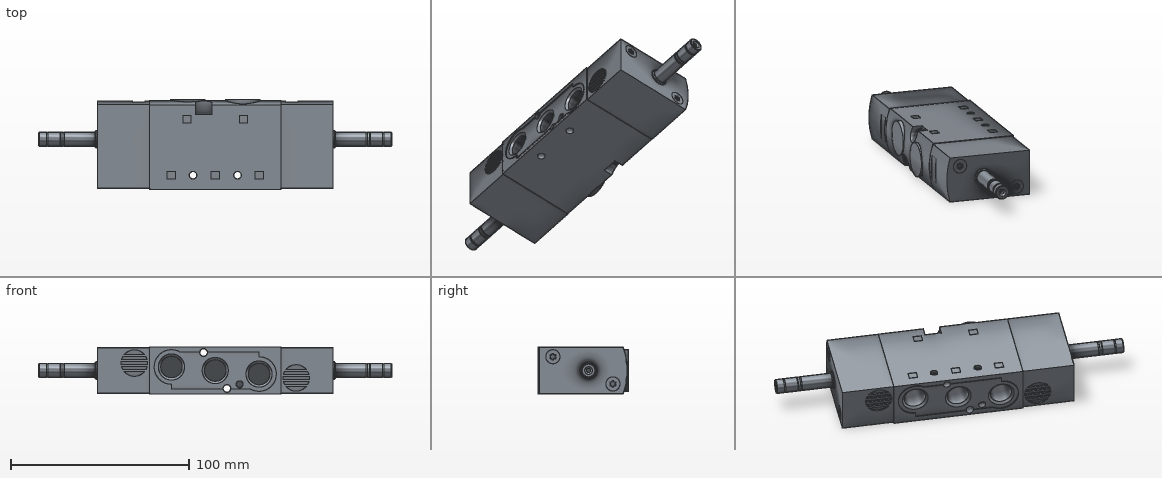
import cadquery as cq
import math

overall_length = 198.2
overall_depth = 50.5
body_length = 73.7
body_height = 26.5
cap_length = 29.3
cap_height = 25.8
cap_front_setback = 0.5

front_y = -overall_depth / 2
body_crown_y = 24.8
cap_crown_y = 24.5
body_arch_edge_y = 22.2
cap_arch_edge_y = 22.5
body_end_x = body_length / 2
cap_end_x = body_end_x + cap_length

port_pitch = 24.5
port_z_step = 2.0
port_diameter = 12.0
port_mouth_diameter = 14.7
port_depth = 15.9
gasket_diameter = 19.5
gasket_edge_z = 10.3
gasket_depth = 0.5
pin_hole_diameter = 4.0
pin_hole_depth = 4.0
pin_hole_x = 13.7
pin_hole_z = -7.7

boss_x = 15.5
boss_z = 2.0
boss_diameter = 19.5
boss_length = 6.0

cross_hole_diameter = 4.2
cross_hole_x = 6.5
cross_hole_z = 10.1
head_slot_width = 9.3
head_slot_floor_y = 16.8
vertical_hole_diameter = 4.2
vertical_hole_x = 12.5
vertical_hole_y = -17.2

label_width = 4.8
label_height = 4.2
label_depth = 0.2
front_label_y = -17.2
rear_label_x = 15.9
rear_label_y = 14.3

grille_x = 45.4
grille_z = 4.2
grille_diameter = 14.9
grille_pitch = 2.8
grille_slot_height = 1.5
grille_depth = 1.0
rear_slot_x = 43.0
rear_slot_width = 7.1
rear_slot_floor_y = 24.0

stem_y = 3.0
stem_diameter = 8.0
stem_tip_chamfer = 0.4
stem_bore_diameter = 2.4
stem_bore_mouth_diameter = 4.4
stem_bore_depth = 4.0
groove_depth = 0.2
groove_positions = ((4.4, 0.8), (12.0, 0.4), (13.7, 0.8))
collar_diameter = 10.0
collar_length = 1.2
collar_chamfer = 0.5

screw_centers = ((16.6, 7.5), (-17.0, -7.7))
screw_head_diameter = 8.0
screw_head_length = 4.0
socket_core_diameter = 2.5
socket_tip_diameter = 3.8
socket_lobe_diameter = 0.9
socket_lobes = 6
socket_depth = 1.5


along_x = cq.Vector(1, 0, 0)
along_y = cq.Vector(0, 1, 0)


def half_turn(shape):
    """Turn a shape half a revolution about the Y axis."""
    return shape.rotate((0, 0, 0), (0, 1, 0), 180)


def arched_block(start_x, length, height, front, arch_edge, crown):
    """Block along X with a gently arched rear (+Y) face."""
    half = height / 2
    return (
        cq.Workplane("YZ", origin=(start_x, 0, 0))
        .moveTo(arch_edge, -half)
        .threePointArc((crown, 0), (arch_edge, half))
        .lineTo(front, half)
        .lineTo(front, -half)
        .close()
        .extrude(length)
    )


def cylinder_y(x, z, diameter, start_y, length):
    """Cylinder along +Y."""
    start = cq.Vector(x, start_y, z)
    return cq.Workplane(cq.Solid.makeCylinder(diameter / 2, length, start, along_y))


def cylinder_x(y, z, diameter, start_x, length):
    """Cylinder along +X."""
    start = cq.Vector(start_x, y, z)
    return cq.Workplane(cq.Solid.makeCylinder(diameter / 2, length, start, along_x))


def tapered_mouth(start, direction, mouth_diameter, bore_diameter):
    """45 degree countersink that narrows from the mouth to the bore."""
    depth = (mouth_diameter - bore_diameter) / 2
    return cq.Workplane(cq.Solid.makeCone(mouth_diameter / 2, bore_diameter / 2, depth, start, direction))


def gasket_recess():
    """Shallow recess bounded by an arc around each outer port."""
    radius = gasket_diameter / 2
    run = math.sqrt(radius**2 - (gasket_edge_z - port_z_step) ** 2)
    arc_start_x = -port_pitch + run
    return (
        cq.Workplane("XZ", origin=(0, front_y, 0))
        .moveTo(arc_start_x, gasket_edge_z)
        .threePointArc((-port_pitch - radius, port_z_step), (-port_pitch, port_z_step - radius))
        .lineTo(-port_pitch, -gasket_edge_z)
        .lineTo(-arc_start_x, -gasket_edge_z)
        .threePointArc((port_pitch + radius, -port_z_step), (port_pitch, radius - port_z_step))
        .lineTo(port_pitch, gasket_edge_z)
        .close()
        .extrude(-gasket_depth)
    )


def front_port(x, z):
    """Blind port with a chamfered mouth, opening at the recess floor."""
    mouth_y = front_y + gasket_depth
    bore = cylinder_y(x, z, port_diameter, mouth_y, port_depth)
    mouth = tapered_mouth(cq.Vector(x, mouth_y, z), along_y, port_mouth_diameter, port_diameter)
    return bore.union(mouth)


def cross_hole():
    """Front-to-rear hole with a head seat that opens at the top and the rear."""
    seat_length = overall_depth / 2 - head_slot_floor_y
    seat_y = head_slot_floor_y + seat_length / 2
    hole = cylinder_y(-cross_hole_x, cross_hole_z, cross_hole_diameter, front_y, overall_depth)
    seat = cylinder_y(-cross_hole_x, cross_hole_z, head_slot_width, head_slot_floor_y, seat_length)
    opening = (
        cq.Workplane()
        .box(head_slot_width, seat_length, body_height / 2, centered=(True, True, False))
        .translate((-cross_hole_x, seat_y, cross_hole_z))
    )
    return hole.union(seat).union(opening)


def label_pocket(x, y):
    """Shallow rectangular pocket in the top face."""
    return (
        cq.Workplane()
        .box(label_width, label_height, 2 * label_depth)
        .translate((x, y, body_height / 2))
    )


def make_body():
    """Valve body with ports, mounting holes and label pockets."""
    body = arched_block(-body_end_x, body_length, body_height, front_y, body_arch_edge_y, body_crown_y)
    boss = cylinder_y(boss_x, boss_z, boss_diameter, overall_depth / 2 - boss_length, boss_length)
    body = body.union(boss).union(half_turn(boss))

    body = body.cut(gasket_recess())
    for step in (-1, 0, 1):
        body = body.cut(front_port(step * port_pitch, -step * port_z_step))
    pin_hole_length = gasket_depth + pin_hole_depth
    body = body.cut(cylinder_y(pin_hole_x, pin_hole_z, pin_hole_diameter, front_y, pin_hole_length))

    body = body.cut(cross_hole()).cut(half_turn(cross_hole()))
    for x in (-vertical_hole_x, vertical_hole_x):
        hole = cq.Workplane().circle(vertical_hole_diameter / 2).extrude(body_height)
        body = body.cut(hole.translate((x, vertical_hole_y, -body_height / 2)))

    for x in (-port_pitch, 0, port_pitch):
        body = body.cut(label_pocket(x, front_label_y))
    for x in (-rear_label_x, rear_label_x):
        body = body.cut(label_pocket(x, rear_label_y))
    return body


def grille(cap_front):
    """Horizontal slots trimmed by a circle; the outer two fill the rest of it."""
    radius = grille_diameter / 2
    outer_start = 2 * grille_pitch - grille_slot_height / 2
    bars = cq.Workplane("XZ", origin=(0, cap_front, 0))
    bars = bars.pushPoints([(0, row * grille_pitch) for row in (-1, 0, 1)])
    bars = bars.rect(grille_diameter, grille_slot_height).extrude(-grille_depth)
    outer_height = radius - outer_start
    outer_center = outer_start + outer_height / 2
    outer = cq.Workplane("XZ", origin=(0, cap_front, 0))
    outer = outer.pushPoints([(0, -outer_center), (0, outer_center)])
    outer = outer.rect(grille_diameter, outer_height).extrude(-grille_depth)
    disc = cylinder_y(0, 0, grille_diameter, cap_front, grille_depth)
    return bars.union(outer).intersect(disc).translate((-grille_x, 0, grille_z))


def make_stem():
    """Grooved stem with a tapered collar where it leaves the -X cap."""
    tip_x = -overall_length / 2
    stem_length = overall_length / 2 - cap_end_x
    stem = cylinder_x(stem_y, 0, stem_diameter, tip_x, stem_length)
    stem = stem.faces("<X").chamfer(stem_tip_chamfer)
    collar = cylinder_x(stem_y, 0, collar_diameter, -cap_end_x - collar_length, collar_length)
    stem = stem.union(collar.faces("<X").chamfer(collar_chamfer))
    for distance, width in groove_positions:
        ring = cylinder_x(stem_y, 0, stem_diameter, tip_x + distance, width)
        core = cylinder_x(stem_y, 0, stem_diameter - 2 * groove_depth, tip_x + distance, width)
        stem = stem.cut(ring.cut(core))
    bore = cylinder_x(stem_y, 0, stem_bore_diameter, tip_x, stem_bore_depth)
    mouth = tapered_mouth(
        cq.Vector(tip_x, stem_y, 0), along_x, stem_bore_mouth_diameter, stem_bore_diameter
    )
    return stem.cut(bore).cut(mouth)


def make_cap():
    """Cap and stem at the -X end."""
    cap_front = front_y + cap_front_setback
    cap = arched_block(-cap_end_x, cap_length, cap_height, cap_front, cap_arch_edge_y, cap_crown_y)
    cap = cap.cut(grille(cap_front))
    rear_slot = (
        cq.Workplane()
        .box(rear_slot_width, 2 * (cap_crown_y - rear_slot_floor_y), cap_height)
        .translate((-rear_slot_x, cap_crown_y, 0))
    )
    cap = cap.cut(rear_slot)
    for y, z in screw_centers:
        cap = cap.cut(cylinder_x(y, z, screw_head_diameter, -cap_end_x, screw_head_length))
    return cap.union(make_stem())


def make_screw(y, z):
    """Flush screw head with a six-lobed socket, in the -X cap."""
    screw = cylinder_x(y, z, screw_head_diameter, -cap_end_x, screw_head_length)
    screw = screw.cut(cylinder_x(y, z, socket_core_diameter, -cap_end_x, socket_depth))
    lobe_radius = (socket_tip_diameter - socket_lobe_diameter) / 2
    for index in range(socket_lobes):
        angle = 2 * math.pi * index / socket_lobes + math.pi / 2
        lobe_y = y + lobe_radius * math.cos(angle)
        lobe_z = z + lobe_radius * math.sin(angle)
        screw = screw.cut(cylinder_x(lobe_y, lobe_z, socket_lobe_diameter, -cap_end_x, socket_depth))
    return screw


valve_body = make_body()
left_cap = make_cap()
caps = [left_cap, half_turn(left_cap)]
left_screws = [make_screw(y, z) for y, z in screw_centers]
screws = left_screws + [half_turn(screw) for screw in left_screws]

bodies = [valve_body, *caps, *screws]
result = cq.Compound.makeCompound([body.solids().val() for body in bodies])